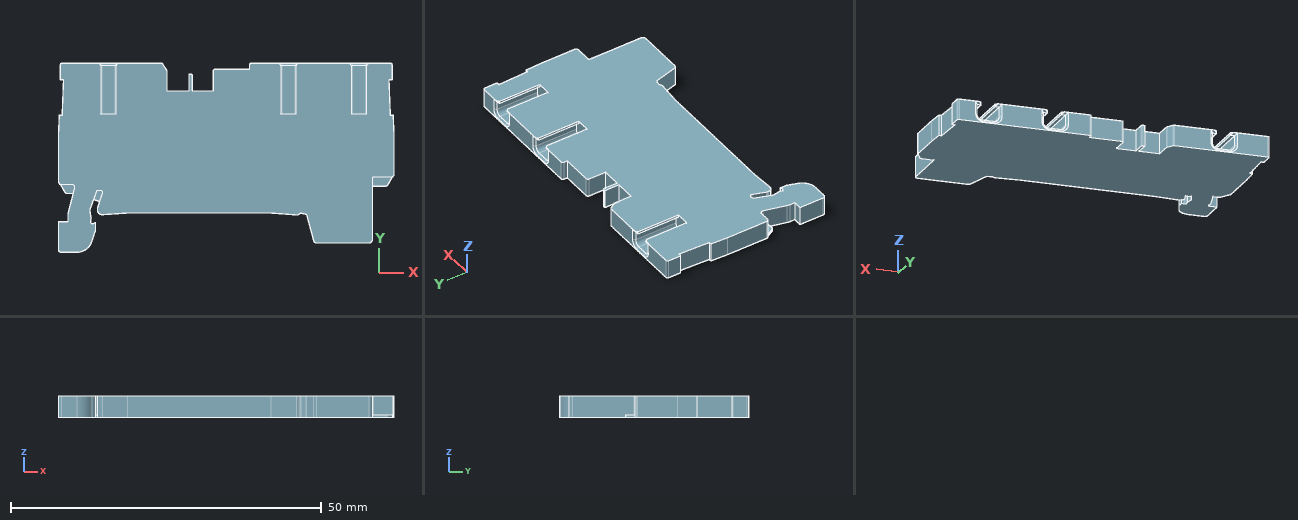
import cadquery as cq
import math

length = 54.1
height = 30.5
thickness = 3.5

top_inset = 0.3
top_block_foot = 27.8
waist_inset_top = 0.8
waist_inset_low = 0.6
waist_foot = 22.1
shoulder_inset = 0.135
shoulder_foot = 19.0
belly = 6.35
belly_foot = 6.0
corner = 0.3
tight_corner = 0.2

recess_left = 17.55
recess_right = 24.95
recess_floor = 26.0
ledge_height = 29.55
ledge_right = 30.8
pin_left = 21.05
pin_right = 21.6
pin_top = 28.75

hook_ledge = 5.0
hook_right = 6.0
neck_left = 1.5
slot_top = 10.0
foot_right = 50.65
foot_bottom = 1.5

web_thickness = 0.45
web_overlap = 0.5
left_web_top = 11.0
left_web_foot = 9.45
right_web_top = 12.15
right_web_foot = 10.65

groove_lefts = (6.85, 35.85, 47.25)
groove_width = 2.4
groove_foot = 22.35
groove_lip = 0.45
groove_undercut = 0.7
groove_depth = 3.0
groove_radius = 0.85
flare = 0.4
cut_overshoot = 0.55


def rounded_outline(corners, plane=cq.Workplane("XY")):
    """Closed outline through (x, y, radius) corners, each rounded by a tangent arc."""
    wire = None
    count = len(corners)
    for i, (x, y, radius) in enumerate(corners):
        here = cq.Vector(x, y)
        to_last = (cq.Vector(*corners[i - 1][:2]) - here).normalized()
        to_next = (cq.Vector(*corners[(i + 1) % count][:2]) - here).normalized()
        half_angle = to_last.getAngle(to_next) / 2
        setback = radius / math.tan(half_angle)
        start = here + to_last * setback
        wire = wire.lineTo(start.x, start.y) if wire else plane.moveTo(start.x, start.y)
        if radius:
            bisector = (to_last + to_next).normalized()
            middle = here + bisector * (radius / math.sin(half_angle) - radius)
            end = here + to_next * setback
            wire = wire.threePointArc((middle.x, middle.y), (end.x, end.y))
    return wire.close()


def side_steps(side_x, inward):
    """Stepped end of the housing from top to bottom; inward is +1 at the left, -1 at the right."""
    return [
        (side_x + inward * top_inset, height, corner),
        (side_x + inward * top_inset, top_block_foot, 0.1),
        (side_x + inward * waist_inset_top, top_block_foot, 0),
        (side_x + inward * waist_inset_low, waist_foot, 0),
        (side_x + inward * shoulder_inset, waist_foot, 0),
        (side_x, shoulder_foot, 0),
    ]


left_end = side_steps(0, 1) + [
    (0, 11.3, 0.45),
    (0.2, left_web_top, 0),
    (2.75, left_web_top, 0.5),
]

hook = [
    (neck_left, 6.15, 2.15),
    (neck_left, hook_ledge, 0),
    (0, hook_ledge, 0),
    (0, 0, 0.5),
    (4.8, 0, 2.55),
    (hook_right, 3.55, 0.25),
    (hook_right, 4.8, 0),
    (5.15, 4.5, 0.25),
    (5.3, 5.5, 0),
    (5.1, 6.8, 1.1),
    (6.2, slot_top, corner),
    (7.25, slot_top, corner),
    (6.3, 7.15, 0.55),
    (6.3, belly_foot, 0.8),
]

belly_edge = [
    (11.15, belly, 0),
    (34.25, belly, 0),
    (38.6, belly_foot, 0.55),
    (39.0, belly, 0.1),
    (40.0, 6.1, 0.15),
]

foot = [
    (41.2, foot_bottom, 0.45),
    (foot_right, foot_bottom, 0.6),
    (foot_right, right_web_top, 0.15),
]

right_end = [
    (53.9, right_web_top, 0),
    (length, 12.45, tight_corner),
] + side_steps(length, -1)[::-1]

top_edge = [
    (ledge_right, height, corner),
    (ledge_right, ledge_height, 0),
    (recess_right, ledge_height, corner),
    (recess_right, recess_floor, 0),
    (pin_right, recess_floor, 0),
    (pin_right, pin_top, tight_corner),
    (pin_left, pin_top, 0),
    (pin_left, recess_floor, 0),
    (recess_left, recess_floor, 0),
    (recess_left, 29.25, 0.25),
    (16.7, height, 0.25),
]

housing = rounded_outline(
    left_end + hook + belly_edge + foot + right_end + top_edge
).extrude(thickness)

left_web = rounded_outline([
    (0, left_web_top + web_overlap, 0),
    (1.2, left_web_foot, corner),
    (2.7, left_web_foot, 0),
    (3.0, left_web_top + web_overlap, 0),
]).extrude(web_thickness)

right_web = rounded_outline([
    (length, right_web_top + web_overlap, 0),
    (52.95, right_web_foot, corner),
    (foot_right - web_overlap, right_web_foot, 0),
    (foot_right - web_overlap, right_web_top + web_overlap, 0),
]).extrude(web_thickness)

hook_web = rounded_outline([
    (5.4, 8.6, 0),
    (6.8, 8.1, 0),
    (7.6, slot_top + web_overlap, 0),
    (5.95, slot_top + web_overlap, 0),
]).extrude(web_thickness)

housing = housing.union(left_web).union(right_web).union(hook_web)


def groove_section(left, y, growth):
    """T-shaped groove section in the XZ plane at y, grown outward all round by growth."""
    right = left + groove_width
    lip_bottom = thickness - groove_lip + growth
    floor = thickness - groove_depth - growth
    spread = groove_undercut + growth
    radius = groove_radius + growth
    return rounded_outline([
        (left - growth, thickness + cut_overshoot, 0),
        (left - growth, lip_bottom, 0),
        (left - spread, lip_bottom, 0),
        (left - spread, floor, radius),
        (right + spread, floor, radius),
        (right + spread, lip_bottom, 0),
        (right + growth, lip_bottom, 0),
        (right + growth, thickness + cut_overshoot, 0),
    ], cq.Workplane("XZ", origin=(0, y, 0)))


def groove(left):
    """Undercut channel along Y with a flared mouth at the top edge."""
    flare_start = height - flare
    channel = groove_section(left, flare_start, 0).extrude(flare_start - groove_foot)
    mouth = cq.Solid.makeLoft([
        groove_section(left, flare_start, 0).val(),
        groove_section(left, height, flare).val(),
    ], True)
    return channel.union(cq.Workplane(mouth))


for left in groove_lefts:
    housing = housing.cut(groove(left))

result = housing